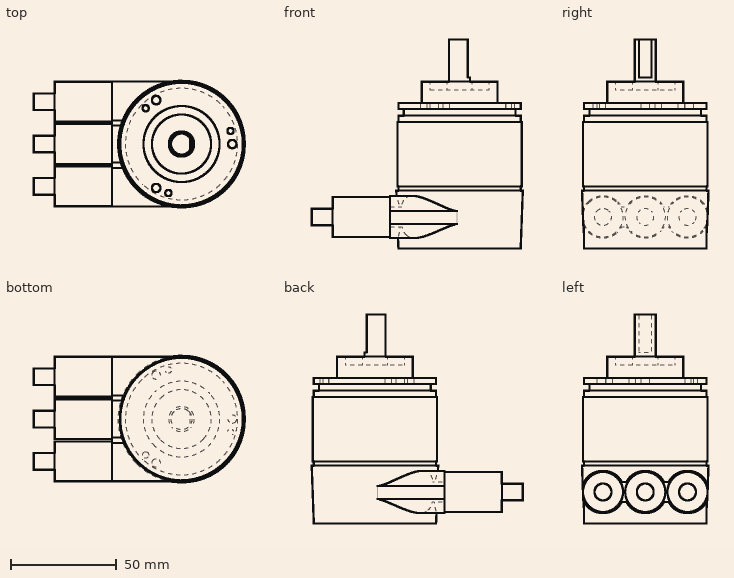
import cadquery as cq

collar_bottom = 27.5
body_bottom = 29.5
body_top = 60
groove_bottom = 63
groove_top = 66
flange_top = 69
boss_top = 79
shaft_top = 99

base_bottom_diameter = 58
base_top_diameter = 60
flange_diameter = 58
body_diameter = 59
groove_diameter = 53
boss_diameter = 36
recess_diameter = 28
recess_depth = 4
sleeve_diameter = 12
shaft_diameter = 10

flat_distance = 4
flat_bottom = 81

hole_circle_radius = 24
hole_count = 3
large_hole_diameter = 4
small_hole_diameter = 3
small_hole_angle = 15
hole_depth = flange_top - groove_top

outlet_height = 15
outlet_spacing = 20
socket_diameter = 20
socket_end = -33
gland_diameter = 19
gland_end = -60
cable_diameter = 8
cable_end = -70
web_height = 9.6
side_inset = 0.02


def disc(diameter, bottom, top):
    """Upright cylinder on the main axis."""
    return cq.Workplane("XY").workplane(offset=bottom).circle(diameter / 2).extrude(top - bottom)


def rod(diameter, start, end, y):
    """Cylinder along X at the outlet height, between two X positions."""
    return (
        cq.Workplane("YZ", origin=(start, y, outlet_height))
        .circle(diameter / 2)
        .extrude(end - start)
    )


def make_housing():
    """Tapered base, body, grooved flange and recessed boss."""
    base = (
        cq.Workplane("XY")
        .circle(base_bottom_diameter / 2)
        .workplane(offset=collar_bottom)
        .circle(base_top_diameter / 2)
        .loft(ruled=True)
    )
    boss = disc(boss_diameter, flange_top, boss_top)
    boss = boss.cut(disc(recess_diameter, boss_top - recess_depth, boss_top))
    return (
        base.union(disc(flange_diameter, collar_bottom, body_bottom))
        .union(disc(body_diameter, body_bottom, body_top))
        .union(disc(flange_diameter, body_top, groove_bottom))
        .union(disc(groove_diameter, groove_bottom, groove_top))
        .union(disc(flange_diameter, groove_top, flange_top))
        .union(boss)
    )


def make_shaft():
    """Shaft with a one-sided flat, standing in its sleeve."""
    recess_floor = boss_top - recess_depth
    shaft = disc(shaft_diameter, recess_floor, shaft_top)
    flat_cutter = (
        cq.Workplane("XY", origin=(flat_distance, 0, flat_bottom))
        .rect(shaft_diameter, shaft_diameter * 2)
        .extrude(shaft_top - flat_bottom)
        .translate((shaft_diameter / 2, 0, 0))
    )
    return shaft.cut(flat_cutter).union(disc(sleeve_diameter, recess_floor, boss_top))


def make_mounting_holes(diameter, start_angle):
    """Ring of equally spaced hole cutters in the flange face."""
    return (
        cq.Workplane("XY")
        .workplane(offset=flange_top)
        .polarArray(hole_circle_radius, start_angle, 360, hole_count)
        .circle(diameter / 2)
        .extrude(-hole_depth)
    )


def make_outlets():
    """Three cable outlets joined by a web, with flat outer sides."""
    web = (
        cq.Workplane("XY", origin=(socket_end / 2, 0, outlet_height))
        .box(-socket_end, 2 * outlet_spacing, web_height)
    )
    sockets = web
    fittings = []
    for row in (-1, 0, 1):
        y = row * outlet_spacing
        sockets = sockets.union(rod(socket_diameter, socket_end, 0, y))
        fittings.append(rod(gland_diameter, gland_end, socket_end, y))
        fittings.append(rod(cable_diameter, cable_end, gland_end, y))
    bottom_half_width = base_bottom_diameter / 2 - side_inset
    top_half_width = base_top_diameter / 2 - side_inset
    side_limit = (
        cq.Workplane("YZ", origin=(socket_end, 0, 0))
        .moveTo(-bottom_half_width, 0)
        .lineTo(bottom_half_width, 0)
        .lineTo(top_half_width, collar_bottom)
        .lineTo(-top_half_width, collar_bottom)
        .close()
        .extrude(-socket_end)
    )
    outlets = sockets.intersect(side_limit)
    for fitting in fittings:
        outlets = outlets.union(fitting)
    return outlets


result = (
    make_housing()
    .union(make_shaft())
    .union(make_outlets())
    .cut(make_mounting_holes(large_hole_diameter, 0))
    .cut(make_mounting_holes(small_hole_diameter, small_hole_angle))
)